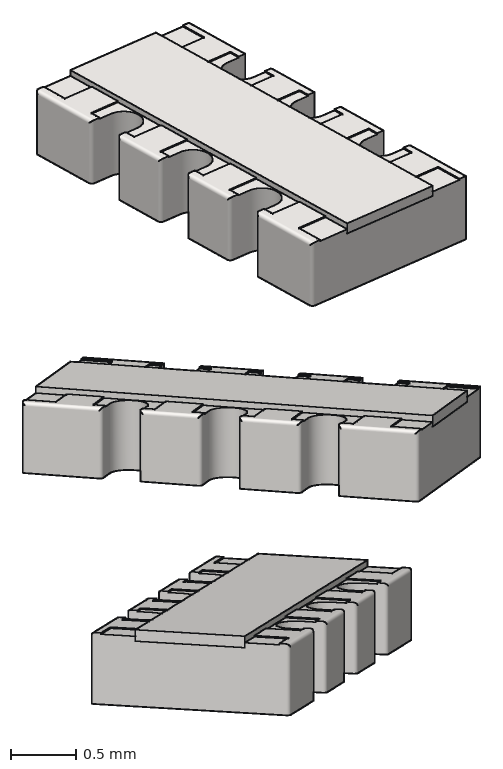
import cadquery as cq

LENGTH = 3.2
WIDTH = 1.6
HEIGHT = 0.6

TOOTH_COUNT = 4
PITCH = LENGTH / TOOTH_COUNT
GROOVE_WIDTH = 0.3
GROOVE_DEPTH = 0.35
EDGE_RADIUS = 0.03

TERMINAL_TOP = 0.56
PAD_RISE = 0.01
STRIP_WIDTH = 0.083
TONGUE_WIDTH = 0.3
CERAMIC_TOP = TERMINAL_TOP - PAD_RISE

COVER_WIDTH = 0.88
COVER_THICKNESS = 0.09
COVER_BOTTOM = HEIGHT - COVER_THICKNESS


def box(length, width, bottom, top, x=0.0, y=0.0):
    """Upright block centred on (x, y) between two heights."""
    return (
        cq.Workplane("XY", origin=(x, y, bottom))
        .rect(length, width)
        .extrude(top - bottom)
    )


def make_grooves():
    """Round-ended vertical grooves, cutting in between the teeth from both long sides."""
    grooves = cq.Workplane("XY")
    for index in range(1, TOOTH_COUNT):
        x = index * PITCH - LENGTH / 2
        for side in (-1, 1):
            groove = (
                cq.Workplane("XY", origin=(x, side * WIDTH / 2, 0))
                .slot2D(2 * GROOVE_DEPTH, GROOVE_WIDTH, 90)
                .extrude(HEIGHT)
            )
            grooves = grooves.add(groove)
    return grooves.combine()


def make_pad_recesses():
    """Shallow areas between the strips along the long sides, leaving the tongues standing."""
    recesses = box(LENGTH, WIDTH - 2 * STRIP_WIDTH, CERAMIC_TOP, TERMINAL_TOP)
    for index in range(TOOTH_COUNT):
        x = (index + 0.5) * PITCH - LENGTH / 2
        recesses = recesses.cut(box(TONGUE_WIDTH, WIDTH, CERAMIC_TOP, TERMINAL_TOP, x))
    return recesses


def make_cover():
    """Flat layer that runs the full length over the middle of the base."""
    return box(LENGTH, COVER_WIDTH, COVER_BOTTOM, HEIGHT)


def make_base():
    """Toothed chip body with rounded tooth ends, raised pads and a channel for the cover."""
    base = box(LENGTH, WIDTH, 0, TERMINAL_TOP).cut(make_grooves())
    end_faces = base.faces("<Y or >Y")
    base = end_faces.edges("|Z or >Z").fillet(EDGE_RADIUS)
    return base.cut(make_pad_recesses()).cut(make_cover())


base = make_base()
cover = make_cover()

result = cq.Compound.makeCompound([base.solids().val(), cover.val()])